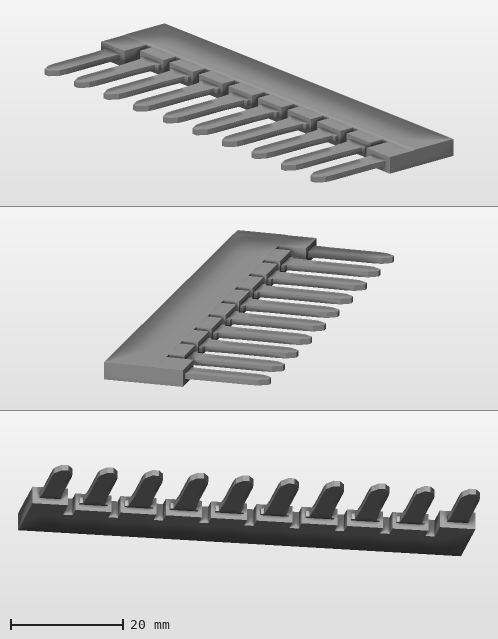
import cadquery as cq

length = 80.3
thickness = 3.2
total_depth = 30.1
tine_count = 10
end_tine_inset = 3.2
pitch = (length - 2 * end_tine_inset) / (tine_count - 1)

ramp_start = 8.8
spine_depth = 9.6
top_drop = 0.1
middle_block_end = 12.5
end_block_end = 14.8
notch_width = 1.7

tine_thickness = 1.05
shoulder_half_width = 2.6
shoulder_end = 13.2
root_half_width = 2.0
root_start = 13.4
shank_half_width = 1.8
shank_start = 17.8
shank_end = 26.9
nose_half_width = 1.6
nose_start = 28.4
tip_half_width = 0.6


def centred_places(count):
    """X places of a row of features spaced by the pitch about X = 0."""
    return [(i - (count - 1) / 2) * pitch for i in range(count)]


def make_body():
    """Bar with a slightly lowered front, cut by notches into separate blocks."""
    side_profile = [
        (0, 0),
        (-end_block_end, 0),
        (-end_block_end, thickness - top_drop),
        (-spine_depth, thickness - top_drop),
        (-ramp_start, thickness),
        (0, thickness),
    ]
    body = cq.Workplane("YZ").polyline(side_profile).close().extrude(length / 2, both=True)

    notch_places = centred_places(tine_count - 1)
    for x in notch_places:
        notch = cq.Workplane("XY").box(
            notch_width, end_block_end - spine_depth, thickness, centered=(True, False, False)
        )
        body = body.cut(notch.translate((x, -end_block_end, 0)))

    middle_width = notch_places[-1] - notch_places[0]
    trim = cq.Workplane("XY").box(
        middle_width, end_block_end - middle_block_end, thickness, centered=(True, False, False)
    )
    return body.cut(trim.translate((0, -end_block_end, 0)))


def make_tine(x):
    """Shouldered blade that narrows to a blunt tip, rooted in the spine."""
    right_side = [
        (shoulder_half_width, -spine_depth),
        (shoulder_half_width, -shoulder_end),
        (root_half_width, -root_start),
        (shank_half_width, -shank_start),
        (shank_half_width, -shank_end),
        (nose_half_width, -nose_start),
        (tip_half_width, -total_depth),
    ]
    left_side = [(-px, py) for px, py in reversed(right_side)]
    blade = cq.Workplane("XY").polyline(right_side + left_side).close().extrude(tine_thickness)
    return blade.translate((x, 0, (thickness - tine_thickness) / 2))


result = make_body()
for tine_x in centred_places(tine_count):
    result = result.union(make_tine(tine_x))